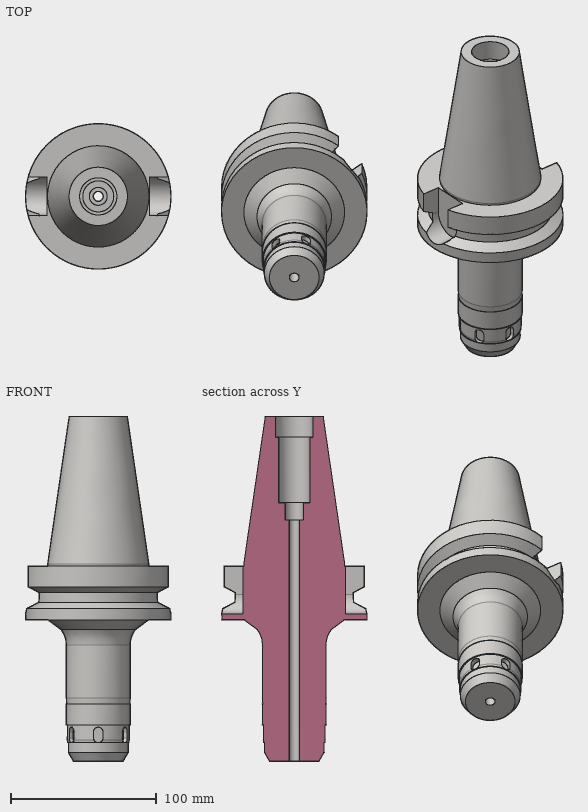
import cadquery as cq
import math

total_height = 236.8

taper_base_radius = 34.8
taper_base_z = 135.5
taper_rate = 7 / 48
taper_tip_radius = taper_base_radius - (total_height - taper_base_z) * taper_rate

flange_radius = 50.0
flange_top_z = 134.0
groove_radius = 42.6
groove_top_z = 119.8
groove_floor_top_z = 115.8
groove_floor_bottom_z = 109.2
groove_bottom_z = 105.0
flange_bottom_z = 97.0

drive_slot_width = 26.3
drive_slot_floor_x = 35.3
drive_slot_bottom_z = 101.4

neck_top_radius = 34.5
neck_cone_end_radius = 25.5
neck_cone_end_z = 90.5
body_radius = 22.0
body_top_z = 80.0

body_end_z = 43.5
nut_top_z = 39.3
nut_gap_radius = 21.8
nut_radius = body_radius
nut_step_z = 25.0
nut_grip_radius = 21.3
nut_ring_z = 14.7
nut_ring_radius = 21.0
nut_grip_end_z = 12.8
nose_radius = 20.5
nose_chamfer_z = 6.2
nose_end_radius = 17.0

spanner_slot_count = 6
spanner_slot_width = 6.6
spanner_slot_top_z = 23.5
spanner_slot_bottom_z = 12.8
spanner_slot_floor = 18.0

bore_steps = [(12.8, 14.2), (10.7, 59.2), (6.2, 71.0), (3.3, total_height)]


def make_body():
    """Revolve the outer profile about Z."""
    rise = neck_cone_end_z - body_top_z
    run = neck_cone_end_radius - body_radius
    fillet_radius = (rise**2 + run**2) / (2 * run)
    half_angle = math.asin(rise / fillet_radius) / 2
    fillet_mid = (
        body_radius + fillet_radius * (1 - math.cos(half_angle)),
        body_top_z + fillet_radius * math.sin(half_angle),
    )
    profile = (
        cq.Workplane("XZ")
        .moveTo(0, total_height)
        .lineTo(taper_tip_radius, total_height)
        .lineTo(taper_base_radius, taper_base_z)
        .lineTo(taper_base_radius, flange_top_z)
        .lineTo(flange_radius, flange_top_z)
        .lineTo(flange_radius, groove_top_z)
        .lineTo(groove_radius, groove_floor_top_z)
        .lineTo(groove_radius, groove_floor_bottom_z)
        .lineTo(flange_radius, groove_bottom_z)
        .lineTo(flange_radius, flange_bottom_z)
        .lineTo(neck_top_radius, flange_bottom_z)
        .lineTo(neck_cone_end_radius, neck_cone_end_z)
        .threePointArc(fillet_mid, (body_radius, body_top_z))
        .lineTo(body_radius, body_end_z)
        .lineTo(nut_gap_radius, nut_top_z)
        .lineTo(nut_radius, nut_top_z)
        .lineTo(nut_radius, nut_step_z)
        .lineTo(nut_grip_radius, nut_step_z)
        .lineTo(nut_grip_radius, nut_ring_z)
        .lineTo(nut_ring_radius, nut_grip_end_z)
        .lineTo(nose_radius, nut_grip_end_z)
        .lineTo(nose_radius, nose_chamfer_z)
        .lineTo(nose_end_radius, 0)
        .lineTo(0, 0)
        .close()
    )
    return profile.revolve(360, (0, 0, 0), (0, 1, 0))


def round_slot(width, bottom_z, top_z, floor_x, outer_x):
    """Upright round-ended slot cutter reaching from floor_x out to outer_x."""
    return (
        cq.Workplane("YZ", origin=(floor_x, 0, (bottom_z + top_z) / 2))
        .slot2D(top_z - bottom_z, width, 90)
        .extrude(outer_x - floor_x)
    )


def make_drive_slot():
    """Cutter for the +X drive slot, its upper round end clear of the flange."""
    slot_top_z = flange_top_z + drive_slot_width
    return round_slot(
        drive_slot_width, drive_slot_bottom_z, slot_top_z, drive_slot_floor_x, flange_radius + 2.4
    )


def make_spanner_slot():
    """Cutter for one spanner slot on the +X side."""
    return round_slot(
        spanner_slot_width, spanner_slot_bottom_z, spanner_slot_top_z, spanner_slot_floor, nut_radius + 2.4
    )


def cut_around(part, cutter, count, start_angle):
    """Cut evenly spaced copies of a cutter around Z."""
    for i in range(count):
        part = part.cut(cutter.rotate((0, 0, 0), (0, 0, 1), start_angle + i * 360 / count))
    return part


def cut_bore(part):
    """Cut the coaxial bore steps down from the taper tip."""
    for radius, depth in bore_steps:
        step = cq.Workplane("XY", origin=(0, 0, total_height)).circle(radius).extrude(-depth)
        part = part.cut(step)
    return part


holder = make_body()
holder = cut_around(holder, make_drive_slot(), 2, 0)
holder = cut_around(holder, make_spanner_slot(), spanner_slot_count, -90)
result = cut_bore(holder)